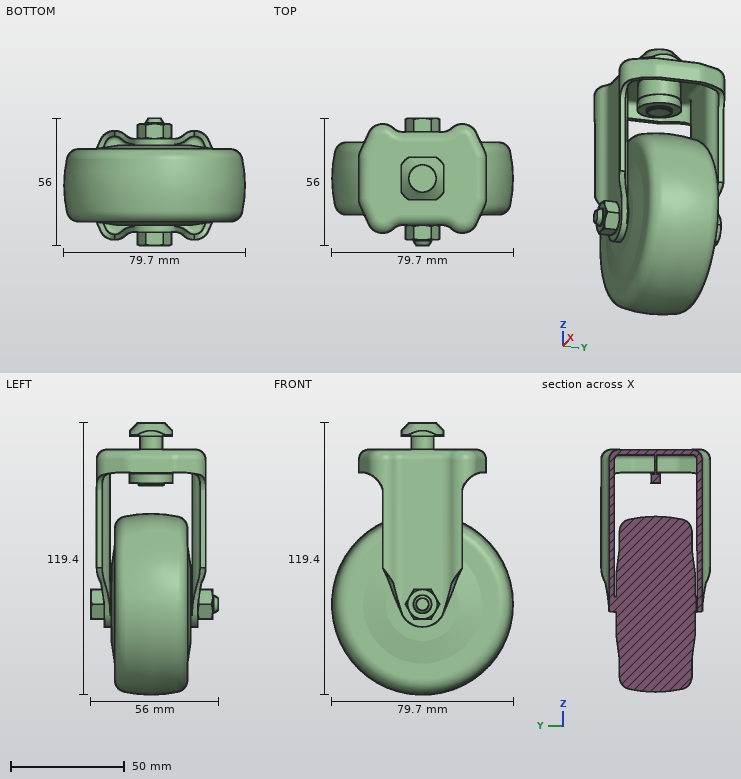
import cadquery as cq
import math


WHEEL_R = 39.83
WHEEL_HALF_WIDTH = 16.0
CROWN_HALF_WIDTH = 11.5
CROWN_EDGE_R = 38.6
TYRE_SIDE_R = 32.8
TYRE_CORNER_SAG = 1.4
DISC_R = 26.1
HUB_R = 16.1
HUB_HALF_WIDTH = 17.5

WALL = 2.5
PLATE_TOP = 68.0
PLATE_HALF_LENGTH = 28.0
PLATE_CORNER_Y = 10.5
PLATE_CORNER_FILLET = 7.0
PLATE_EDGE_FILLET = 4.5
SKIRT_BOTTOM = 57.8
WEB_HALF_WIDTH = 8.8
WEB_Y = 20.5
LOBE_X = 17.5
LOBE_Y = 24.0
LOBE_R = 6.8

LOBE_CENTER_Y = LOBE_Y - LOBE_R
BEND_RUN = LOBE_X - WEB_HALF_WIDTH
BEND_RISE = LOBE_Y - WEB_Y
VALLEY_R = (BEND_RUN**2 + BEND_RISE**2) / (2 * BEND_RISE) - LOBE_R
VALLEY_CENTER_Y = WEB_Y + VALLEY_R
BEND_ANGLE = math.asin(BEND_RUN / (VALLEY_R + LOBE_R))

CORNER_DX = PLATE_HALF_LENGTH - LOBE_X
CORNER_DY = PLATE_CORNER_Y - LOBE_CENTER_Y
FLANK_ANGLE = math.atan2(CORNER_DY, CORNER_DX) + math.acos(LOBE_R / math.hypot(CORNER_DX, CORNER_DY))

LEG_CURVE_BOTTOM = 50.2
LEG_CURVE_R = 10.7
LEG_TAPER_TOP = 16.0
LEG_TAPER_MIDDLE = 9.3
LEG_END_R = 10.0
WEB_END_Z = -math.sqrt(LEG_END_R**2 - WEB_HALF_WIDTH**2)
TRIM_STATIONS = 9
TRIM_MARGIN = 0.3

BOLT_R = 4.0
BOLT_TIP_R = 2.7
HEX_FLATS = 13.0
HEX_CORNER_R = HEX_FLATS / 2 / math.cos(math.pi / 6)
HEX_CHAMFER_R = 6.5
HEX_CHAMFER_DEPTH = 0.5
HEAD_END_Y = 26.5
NUT_END_Y = -27.0
BOLT_LENGTH = 56.0
BOLT_END_Y = HEAD_END_Y - BOLT_LENGTH
BOLT_SHANK_OVERHANG = 0.4
BOLT_TIP_START_Y = NUT_END_Y - BOLT_SHANK_OVERHANG

STEM_R = 5.0
STEM_HEAD_TOP = 79.6
STEM_HEAD_BOTTOM = 73.8
STEM_HEAD_WIDTH = 18.6
STEM_HEAD_TOP_R = 6.0
STEM_HEAD_R = 11.1
STEM_HEAD_RIM = 0.6
COLLAR_R = 9.6
COLLAR_BOTTOM = 53.2
COLLAR_TOP = 57.2
BUSHING_R = 9.4
STEM_BOTTOM = 52.0
STEM_BOSS_R = 5.7
STEM_BOSS_CHAMFER = 0.5


def bulge_point(start, end, sag):
    """Middle point of the arc that bulges to the left of the chord from start to end."""
    dx = end[0] - start[0]
    dy = end[1] - start[1]
    chord = math.hypot(dx, dy)
    middle_x = (start[0] + end[0]) / 2 - sag * dy / chord
    middle_y = (start[1] + end[1]) / 2 + sag * dx / chord
    return (middle_x, middle_y)


def make_wheel():
    side = (TYRE_SIDE_R, WHEEL_HALF_WIDTH)
    edge = (CROWN_EDGE_R, CROWN_HALF_WIDTH)
    half = (
        cq.Workplane("XY")
        .lineTo(0, HUB_HALF_WIDTH)
        .lineTo(HUB_R, HUB_HALF_WIDTH)
        .lineTo(DISC_R, WHEEL_HALF_WIDTH)
        .lineTo(*side)
        .threePointArc(bulge_point(side, edge, TYRE_CORNER_SAG), edge)
        .threePointArc((WHEEL_R, 0), (CROWN_EDGE_R, -CROWN_HALF_WIDTH))
        .lineTo(0, -CROWN_HALF_WIDTH)
        .close()
        .revolve(360, (0, 0), (0, 1))
    )
    return half.union(half.mirror("XZ"))


def valley_point(angle):
    """Point of the valley arc, with the angle counted from the flat web."""
    return (WEB_HALF_WIDTH + VALLEY_R * math.sin(angle), VALLEY_CENTER_Y - VALLEY_R * math.cos(angle))


def lobe_point(angle):
    """Point of the lobe arc, with the angle counted from +X."""
    return (LOBE_X + LOBE_R * math.cos(angle), LOBE_CENTER_Y + LOBE_R * math.sin(angle))


def plan_outline():
    """Closed plan outline of the fork: two flat webs between four rounded lobes."""
    web_end = (WEB_HALF_WIDTH, WEB_Y)
    valley_middle = valley_point(BEND_ANGLE / 2)
    inflection = valley_point(BEND_ANGLE)
    lobe_top = (LOBE_X, LOBE_Y)
    lobe_end = lobe_point(FLANK_ANGLE)
    corner = (PLATE_HALF_LENGTH, PLATE_CORNER_Y)

    def placed(point, side_x, side_y):
        return (point[0] * side_x, point[1] * side_y)

    outline = cq.Workplane("XY").moveTo(-WEB_HALF_WIDTH, WEB_Y)
    for side in (1, -1):
        outline = (
            outline.lineTo(*placed(web_end, side, side))
            .threePointArc(placed(valley_middle, side, side), placed(inflection, side, side))
            .threePointArc(placed(lobe_top, side, side), placed(lobe_end, side, side))
            .lineTo(*placed(corner, side, side))
            .lineTo(*placed(corner, side, -side))
            .lineTo(*placed(lobe_end, side, -side))
            .threePointArc(placed(lobe_top, side, -side), placed(inflection, side, -side))
            .threePointArc(placed(valley_middle, side, -side), placed(web_end, side, -side))
        )
    return outline.close()


def plan_block(inset, top, edge_fillet):
    """Solid of the plan outline, set in by inset, with its top edge rounded."""
    corner_zone = cq.selectors.BoxSelector(
        (-2 * PLATE_HALF_LENGTH, -PLATE_CORNER_Y - WALL, -WALL),
        (2 * PLATE_HALF_LENGTH, PLATE_CORNER_Y + WALL, WALL),
    )
    plan = plan_outline().extrude(WALL)
    plan = plan.edges("|Z").edges(corner_zone).fillet(PLATE_CORNER_FILLET)
    outline = plan.faces("<Z").wires().val()
    if inset:
        outline = outline.offset2D(-inset)[0]
    block = cq.Workplane("XY").add(outline).toPending().extrude(top + LEG_END_R)
    block = block.translate((0, 0, -LEG_END_R))
    return block.faces(">Z").edges().fillet(edge_fillet)


def front_profile():
    """Front outline: skirt under the plate ends and round ends of the leg webs."""
    skirt_x = PLATE_HALF_LENGTH - WALL - TRIM_MARGIN
    return (
        cq.Workplane("XZ")
        .moveTo(-PLATE_HALF_LENGTH, PLATE_TOP)
        .lineTo(PLATE_HALF_LENGTH, PLATE_TOP)
        .lineTo(PLATE_HALF_LENGTH, SKIRT_BOTTOM)
        .lineTo(skirt_x, SKIRT_BOTTOM)
        .lineTo(skirt_x, -LEG_END_R)
        .lineTo(WEB_HALF_WIDTH, -LEG_END_R)
        .lineTo(WEB_HALF_WIDTH, WEB_END_Z)
        .threePointArc((0, -LEG_END_R), (-WEB_HALF_WIDTH, WEB_END_Z))
        .lineTo(-WEB_HALF_WIDTH, -LEG_END_R)
        .lineTo(-skirt_x, -LEG_END_R)
        .lineTo(-skirt_x, SKIRT_BOTTOM)
        .lineTo(-PLATE_HALF_LENGTH, SKIRT_BOTTOM)
        .close()
        .extrude(LOBE_Y, both=True)
    )


def steps(start, end):
    """Evenly spaced values from start to end."""
    return [start + (end - start) * i / (TRIM_STATIONS - 1) for i in range(TRIM_STATIONS)]


def trim_cutter(stations):
    """Cutter below a sheet edge that is square to the sheet.

    Each station is an outer sheet point (x, y), the edge height z there and the
    angle of the outward sheet normal.
    """
    edges = []
    for offset in (TRIM_MARGIN, -WALL - TRIM_MARGIN):
        points = []
        for (x, y), z, normal in stations:
            points.append(cq.Vector(x + offset * math.cos(normal), y + offset * math.sin(normal), z))
        edges.append(cq.Edge.makeSpline(points))
    face = cq.Face.makeRuledSurface(*edges)
    return cq.Workplane("XY").add(cq.Solid.extrudeLinear(face, cq.Vector(0, 0, -PLATE_TOP - LEG_END_R)))


def taper_cutters():
    """Taper of the leg: falls along the bent sheet from its side to the web end."""
    valley = []
    lobe = []
    for angle in steps(0, BEND_ANGLE):
        share = angle / BEND_ANGLE
        normal = math.pi / 2 + angle
        valley_z = WEB_END_Z + (LEG_TAPER_MIDDLE - WEB_END_Z) * share
        lobe_z = LEG_TAPER_TOP + (LEG_TAPER_MIDDLE - LEG_TAPER_TOP) * share
        valley.append((valley_point(angle), valley_z, normal))
        lobe.append((lobe_point(normal), lobe_z, normal))
    return [trim_cutter(valley), trim_cutter(lobe)]


def leg_curve_height(x):
    """Height of the arc that leads from the leg side up to the skirt edge."""
    flat_x = PLATE_HALF_LENGTH - WALL
    if x >= flat_x:
        return SKIRT_BOTTOM
    dx = flat_x - LOBE_X
    dz = SKIRT_BOTTOM - LEG_CURVE_BOTTOM
    chord = math.hypot(dx, dz)
    reach = math.sqrt(LEG_CURVE_R**2 - chord**2 / 4)
    center_x = (LOBE_X + flat_x) / 2 + reach * dz / chord
    center_z = (LEG_CURVE_BOTTOM + SKIRT_BOTTOM) / 2 - reach * dx / chord
    return center_z + math.sqrt(LEG_CURVE_R**2 - (x - center_x) ** 2)


def skirt_cutters():
    """Curved lower edge around the outer half of a lobe and along the flank."""
    lobe = []
    for angle in steps(math.pi / 2, FLANK_ANGLE):
        point = lobe_point(angle)
        lobe.append((point, leg_curve_height(point[0]), angle))
    start_x, start_y = lobe_point(FLANK_ANGLE)
    slope = (PLATE_CORNER_Y - start_y) / (PLATE_HALF_LENGTH - start_x)
    cutters = [trim_cutter(lobe)]
    flat_x = PLATE_HALF_LENGTH - WALL
    for x_range in ((start_x, flat_x), (flat_x, PLATE_HALF_LENGTH)):
        flank = []
        for x in steps(*x_range):
            flank.append(((x, start_y + slope * (x - start_x)), leg_curve_height(x), FLANK_ANGLE))
        cutters.append(trim_cutter(flank))
    return cutters


def make_fork():
    outside = plan_block(0, PLATE_TOP, PLATE_EDGE_FILLET)
    inside = plan_block(WALL, PLATE_TOP - WALL, PLATE_EDGE_FILLET - WALL)
    fork = outside.cut(inside).intersect(front_profile())
    for cutter in taper_cutters() + skirt_cutters():
        for side_cutter in (cutter, cutter.mirror("YZ")):
            fork = fork.cut(side_cutter).cut(side_cutter.mirror("XZ"))
    return fork


def axle_cylinder(radius, start_y, end_y):
    length = start_y - end_y
    return cq.Workplane("XZ", origin=(0, start_y, 0)).circle(radius).extrude(length)


def chamfered_hexagon(start_y, end_y, chamfered_ends):
    """Hexagon along the axle with the corners chamfered at the selected ends."""
    length = start_y - end_y
    hexagon = cq.Workplane("XZ", origin=(0, start_y, 0)).polygon(6, 2 * HEX_CORNER_R).extrude(length)
    envelope = (
        axle_cylinder(HEX_CORNER_R, start_y, end_y)
        .faces(chamfered_ends)
        .edges()
        .chamfer(HEX_CHAMFER_DEPTH, HEX_CORNER_R - HEX_CHAMFER_R)
    )
    return hexagon.intersect(envelope)


def make_axle():
    shank = axle_cylinder(BOLT_R, HEAD_END_Y, BOLT_TIP_START_Y)
    tip_length = BOLT_TIP_START_Y - BOLT_END_Y
    tip = cq.Workplane("XY").add(
        cq.Solid.makeCone(
            BOLT_R, BOLT_TIP_R, tip_length, cq.Vector(0, BOLT_TIP_START_Y, 0), cq.Vector(0, -1, 0)
        )
    )
    head = chamfered_hexagon(HEAD_END_Y, WEB_Y, ">Y")
    nut = chamfered_hexagon(-WEB_Y, NUT_END_Y, "<Y or >Y")
    spacer_y = WEB_Y - WALL
    spacers = axle_cylinder(LEG_END_R, spacer_y, -spacer_y)
    return shank.union(spacers).union(tip).union(head).union(nut)


def stem_cylinder(radius, bottom, top):
    return cq.Workplane("XY", origin=(0, 0, bottom)).circle(radius).extrude(top - bottom)


def make_stem():
    boss = stem_cylinder(STEM_BOSS_R, STEM_BOTTOM, COLLAR_BOTTOM)
    boss = boss.faces("<Z").chamfer(STEM_BOSS_CHAMFER)
    collar = stem_cylinder(COLLAR_R, COLLAR_BOTTOM, COLLAR_TOP)
    bushing = stem_cylinder(BUSHING_R, COLLAR_TOP, PLATE_TOP - WALL)
    stem = stem_cylinder(STEM_R, COLLAR_BOTTOM, STEM_HEAD_BOTTOM)
    cone = (
        cq.Workplane("XZ")
        .moveTo(0, STEM_HEAD_BOTTOM)
        .lineTo(STEM_HEAD_R, STEM_HEAD_BOTTOM)
        .lineTo(STEM_HEAD_R, STEM_HEAD_BOTTOM + STEM_HEAD_RIM)
        .lineTo(STEM_HEAD_TOP_R, STEM_HEAD_TOP)
        .lineTo(0, STEM_HEAD_TOP)
        .close()
        .revolve(360, (0, 0), (0, 1))
    )
    square = (
        cq.Workplane("XY", origin=(0, 0, STEM_HEAD_BOTTOM))
        .rect(STEM_HEAD_WIDTH, STEM_HEAD_WIDTH)
        .extrude(STEM_HEAD_TOP - STEM_HEAD_BOTTOM)
    )
    return boss.union(collar).union(bushing).union(stem).union(cone.intersect(square))


result = make_fork().union(make_wheel()).union(make_axle()).union(make_stem())